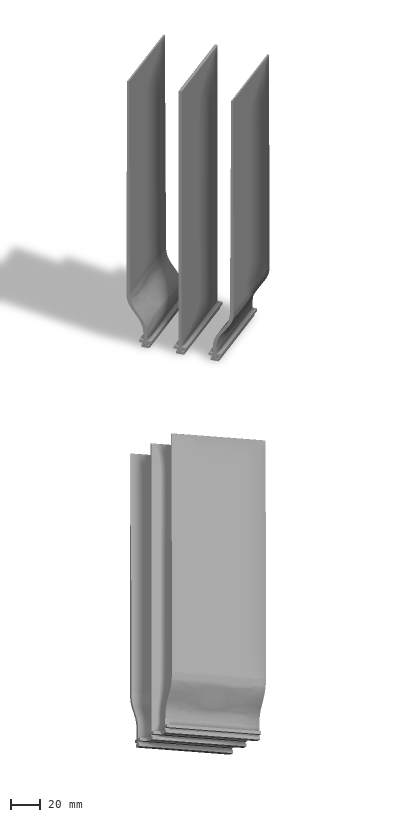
import cadquery as cq

height = 203.8
depth = 68.0
half_width = 38.7

foot_width = 5.7
foot_height = 2.0
flange_width = 9.0
flange_bottom = 3.5
flange_height = 2.0

middle_thickness = 2.2

stem_offset = 25.0
stem_thickness = 2.6
bend_bottom = 10.0
bend_top = 39.7
bend_handle_ratio = 0.48
tip_thickness = 1.2
tip_inset = 0.57

middle_tip_radius = 0.92
side_tip_radius = 0.5


def extrude_along_y(profile):
    """Extrude an XZ profile over the full depth, centred on Y = 0."""
    return profile.extrude(depth).translate((0, depth / 2, 0))


def add_root(blade, center_x):
    """Join the foot and the flange to a blade's lower end."""
    for width, bottom, thickness in (
        (foot_width, 0, foot_height),
        (flange_width, flange_bottom, flange_height),
    ):
        bar = cq.Workplane("XY").box(width, depth, thickness, centered=(True, True, False))
        blade = blade.union(bar.translate((center_x, 0, bottom)))
    return blade


def round_tip(blade, radius):
    """Round the two long edges of the blade's upper end."""
    return blade.faces(">Z").edges("|Y").fillet(radius)


def make_middle_blade():
    profile = cq.Workplane("XZ").moveTo(0, height / 2).rect(middle_thickness, height)
    return add_root(round_tip(extrude_along_y(profile), middle_tip_radius), 0)


def make_side_blade():
    """Left blade: a stem, an S-bend outward and a tapered upright."""
    stem_outer = -stem_offset - stem_thickness / 2
    stem_inner = stem_outer + stem_thickness
    bend_outer = -half_width
    bend_inner = bend_outer + stem_thickness
    tip_outer = bend_outer + tip_inset
    tip_inner = tip_outer + tip_thickness

    handle = bend_handle_ratio * (bend_top - bend_bottom)
    lower_handle_z = bend_bottom + handle
    upper_handle_z = bend_top - handle

    profile = (
        cq.Workplane("XZ")
        .moveTo(stem_outer, 0)
        .lineTo(stem_outer, bend_bottom)
        .bezier(
            [
                (stem_outer, bend_bottom),
                (stem_outer, lower_handle_z),
                (bend_outer, upper_handle_z),
                (bend_outer, bend_top),
            ]
        )
        .lineTo(tip_outer, height)
        .lineTo(tip_inner, height)
        .lineTo(bend_inner, bend_top)
        .bezier(
            [
                (bend_inner, bend_top),
                (bend_inner, upper_handle_z),
                (stem_inner, lower_handle_z),
                (stem_inner, bend_bottom),
            ]
        )
        .lineTo(stem_inner, 0)
        .close()
    )
    return add_root(round_tip(extrude_along_y(profile), side_tip_radius), -stem_offset)


middle_blade = make_middle_blade()
left_blade = make_side_blade()
side_blades = [left_blade, left_blade.mirror("YZ")]

result = cq.Compound.makeCompound(
    [middle_blade.val(), *[blade.val() for blade in side_blades]]
)